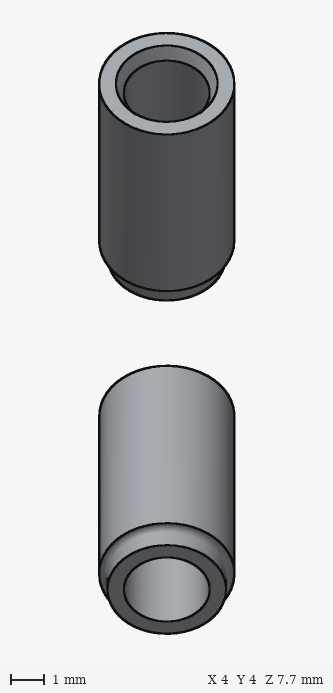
import cadquery as cq
import math

length = 7.7
outer_diameter = 4.0

spigot_diameter = 3.5
spigot_length = 0.7
shoulder_fillet = 0.2

bore_diameter = 2.53
lead_in_diameter = 3.0
lead_in_angle = 60.0
lead_in_radial_width = (lead_in_diameter - bore_diameter) / 2
lead_in_depth = lead_in_radial_width / math.tan(math.radians(lead_in_angle / 2))

outer_radius = outer_diameter / 2
spigot_radius = spigot_diameter / 2
bore_radius = bore_diameter / 2
lead_in_radius = lead_in_diameter / 2

fillet_center_radius = spigot_radius + shoulder_fillet
fillet_start_height = spigot_length - shoulder_fillet
fillet_mid_offset = shoulder_fillet * math.sqrt(0.5)
fillet_midpoint = (
    fillet_center_radius - fillet_mid_offset,
    fillet_start_height + fillet_mid_offset,
)

result = (
    cq.Workplane("XZ")
    .moveTo(bore_radius, 0)
    .lineTo(spigot_radius, 0)
    .lineTo(spigot_radius, fillet_start_height)
    .threePointArc(fillet_midpoint, (fillet_center_radius, spigot_length))
    .lineTo(outer_radius, spigot_length)
    .lineTo(outer_radius, length)
    .lineTo(lead_in_radius, length)
    .lineTo(bore_radius, length - lead_in_depth)
    .close()
    .revolve(360, (0, 0, 0), (0, 1, 0))
)